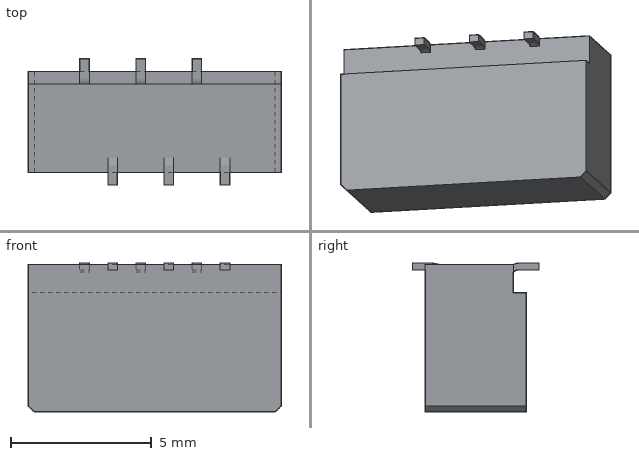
import cadquery as cq

length = 9.0
body_depth = 3.6
body_height = 5.25
step_depth = 0.46
step_height = 1.0
corner_chamfer = 0.22

pitch = 2.0
stagger = pitch / 2
pins_per_row = 3
pin_width = 0.34
pin_thickness = 0.25
pin_overhang = 0.45
pin_rise = 0.05
flat_length = 0.69
ramp_length = 0.27
bend_bottom_drop = 0.0765

front_face = -body_depth / 2
back_face = body_depth / 2
pin_top = body_height + pin_rise
pin_bottom = pin_top - pin_thickness


def make_body():
    """Block with chamfered lower end edges and a full-length step at the upper rear."""
    block = cq.Workplane("XY").box(length, body_depth, body_height, centered=(True, True, False))
    block = block.edges("|Y and <Z").chamfer(corner_chamfer)
    step = (
        cq.Workplane("XY")
        .box(length, step_depth, step_height, centered=(True, False, False))
        .translate((0, back_face - step_depth, body_height - step_height))
    )
    return block.cut(step)


def bend_radius(run, drop):
    """Radius of an arc that starts level and falls by drop over a horizontal run."""
    return (run**2 + drop**2) / (2 * drop)


def front_pin():
    """Flat terminal whose top ramps down into the top face of the body."""
    tip = front_face - pin_overhang
    flat_end = tip + flat_length
    ramp_end = flat_end + ramp_length
    return (
        cq.Workplane("YZ")
        .moveTo(tip, pin_bottom)
        .lineTo(tip, pin_top)
        .lineTo(flat_end, pin_top)
        .lineTo(ramp_end, body_height)
        .lineTo(ramp_end, pin_bottom)
        .close()
        .extrude(pin_width / 2, both=True)
    )


def back_pin():
    """Terminal that leaves the step wall level with the top face and curves out to a flat tip."""
    tip = back_face + pin_overhang
    flat_end = tip - flat_length
    step_wall = back_face - step_depth
    return (
        cq.Workplane("YZ")
        .moveTo(step_wall, pin_bottom - bend_bottom_drop)
        .lineTo(step_wall, body_height)
        .radiusArc((flat_end, pin_top), bend_radius(flat_end - step_wall, pin_rise))
        .lineTo(tip, pin_top)
        .lineTo(tip, pin_bottom)
        .lineTo(flat_end, pin_bottom)
        .radiusArc(
            (step_wall, pin_bottom - bend_bottom_drop),
            -bend_radius(flat_end - step_wall, bend_bottom_drop),
        )
        .close()
        .extrude(pin_width / 2, both=True)
    )


def add_pin_row(part, pin, row_center):
    """Join evenly spaced copies of pin to part, centred on row_center along X."""
    for index in range(pins_per_row):
        x = row_center + (index - (pins_per_row - 1) / 2) * pitch
        part = part.union(pin.translate((x, 0, 0)))
    return part


result = make_body()
result = add_pin_row(result, front_pin(), stagger / 2)
result = add_pin_row(result, back_pin(), -stagger / 2)